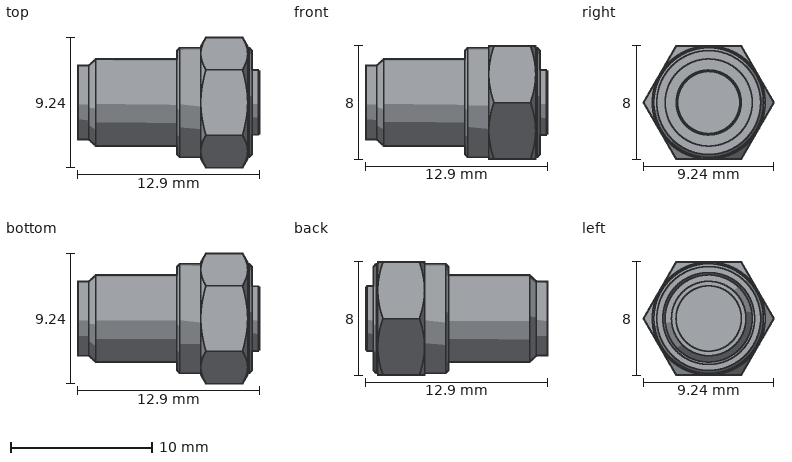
import cadquery as cq
import math

overall_length = 12.87
tip_end = -overall_length / 2
spigot_end = overall_length / 2

tip_radius = 2.64
tip_length = 0.79
shaft_radius = 3.09
shoulder_length = 0.49
spigot_radius = 2.3
spigot_length = 0.53
spigot_chamfer = 0.1
socket_radius = 2.32
socket_depth = 2.0

across_flats = 8.0
across_corners = across_flats / math.cos(math.radians(30))
hex_length = 3.31
hex_chamfer_angle = 30.0
collar_radius = 3.89
collar_chamfer = 0.2
rear_collar_length = 1.7
front_collar_length = 0.32
bore_chamfer = 0.17

nut_front = spigot_end - spigot_length
hex_front = nut_front - front_collar_length
hex_rear = hex_front - hex_length
nut_rear = hex_rear - rear_collar_length


def revolve_about_x(profile_points):
    """Solid of revolution about X from (x, radius) points."""
    profile = cq.Workplane("XY").polyline(profile_points).close()
    return profile.revolve(360, (0, 0, 0), (1, 0, 0))


def make_body():
    """Shaft with a conical shoulder, a spigot and a blind socket."""
    shoulder_start = tip_end + tip_length
    socket_floor = tip_end + socket_depth
    return revolve_about_x([
        (socket_floor, 0),
        (socket_floor, socket_radius),
        (tip_end, socket_radius),
        (tip_end, tip_radius),
        (shoulder_start, tip_radius),
        (shoulder_start + shoulder_length, shaft_radius),
        (nut_front, shaft_radius),
        (nut_front, spigot_radius),
        (spigot_end - spigot_chamfer, spigot_radius),
        (spigot_end, spigot_radius - spigot_chamfer),
        (spigot_end, 0),
    ])


def make_hexagon():
    """Hexagon with corners on +Y and -Y, cut back by a cone at each end."""
    hexagon = (
        cq.Workplane("YZ", origin=(hex_rear, 0, 0))
        .polygon(6, across_corners)
        .extrude(hex_length)
    )
    flat_radius = across_flats / 2
    corner_radius = across_corners / 2
    corner_setback = (corner_radius - flat_radius) * math.tan(math.radians(hex_chamfer_angle))
    coned_blank = revolve_about_x([
        (hex_rear, 0),
        (hex_rear, flat_radius),
        (hex_rear + corner_setback, corner_radius),
        (hex_front - corner_setback, corner_radius),
        (hex_front, flat_radius),
        (hex_front, 0),
    ])
    return hexagon.intersect(coned_blank)


def make_collars():
    """Round core of the nut, chamfered where it stands out of the hexagon."""
    end_radius = collar_radius - collar_chamfer
    return revolve_about_x([
        (nut_rear, 0),
        (nut_rear, end_radius),
        (nut_rear + collar_chamfer, collar_radius),
        (nut_front - collar_chamfer, collar_radius),
        (nut_front, end_radius),
        (nut_front, 0),
    ])


def make_nut_bore():
    """Through bore that fits the shaft, with a chamfered rear mouth."""
    return revolve_about_x([
        (nut_rear, 0),
        (nut_rear, shaft_radius + bore_chamfer),
        (nut_rear + bore_chamfer, shaft_radius),
        (nut_front, shaft_radius),
        (nut_front, 0),
    ])


def make_nut():
    """Collared hexagon nut with its bore."""
    return make_hexagon().union(make_collars()).cut(make_nut_bore())


body = make_body()
nut = make_nut()

result = cq.Compound.makeCompound([body.val(), nut.val()])